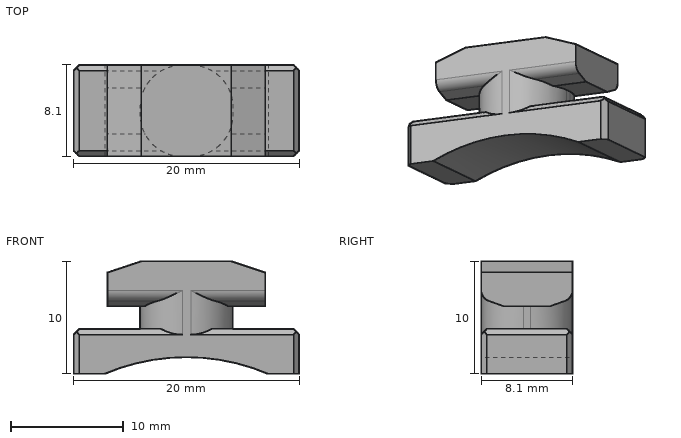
import cadquery as cq

depth = 8.1
total_height = 10.0

base_length = 20.0
base_height = 4.0
base_chamfer = 0.5
arch_width = 14.5
arch_rise = 1.48

head_length = 14.0
head_bottom = 6.0
head_flat_length = 8.0
head_end_drop = 1.0
head_underside_width = 4.08
head_side_corner = 6.72
head_round_radius = 1.0

post_length = 8.25
post_corner_radius = 3.75
post_bottom = base_height / 2
post_top = (head_bottom + total_height) / 2


def make_base():
    """Block chamfered on its upright and top edges, arched from below along Y."""
    block = cq.Workplane("XY").box(base_length, depth, base_height, centered=(True, True, False))
    upright_beveled = block.edges("|Z").chamfer(base_chamfer)
    top_beveled = block.faces(">Z").edges().chamfer(base_chamfer)
    block = upright_beveled.intersect(top_beveled)
    arch = (
        cq.Workplane("XZ")
        .moveTo(-arch_width / 2, 0)
        .threePointArc((0, arch_rise), (arch_width / 2, 0))
        .close()
        .extrude(depth / 2, both=True)
    )
    return block.cut(arch)


def make_post():
    """Upright post with large corner rounds, buried in both base and head."""
    return (
        cq.Workplane("XY", origin=(0, 0, post_bottom))
        .rect(post_length, depth)
        .extrude(post_top - post_bottom)
        .edges("|Z")
        .fillet(post_corner_radius)
    )


def make_head():
    """Cross-section swept along X, then trimmed to the sloped-end outline."""
    section = (
        cq.Workplane("YZ")
        .polyline([
            (-depth / 2, total_height),
            (-depth / 2, head_side_corner),
            (-head_underside_width / 2, head_bottom),
            (head_underside_width / 2, head_bottom),
            (depth / 2, head_side_corner),
            (depth / 2, total_height),
        ])
        .close()
        .extrude(head_length / 2, both=True)
    )
    section = section.faces("<Y or >Y").edges("|X and (not >Z)").fillet(head_round_radius)
    shoulder = total_height - head_end_drop
    outline = (
        cq.Workplane("XZ")
        .polyline([
            (-head_length / 2, head_bottom),
            (head_length / 2, head_bottom),
            (head_length / 2, shoulder),
            (head_flat_length / 2, total_height),
            (-head_flat_length / 2, total_height),
            (-head_length / 2, shoulder),
        ])
        .close()
        .extrude(depth / 2, both=True)
    )
    return section.intersect(outline)


result = make_base().union(make_post()).union(make_head())